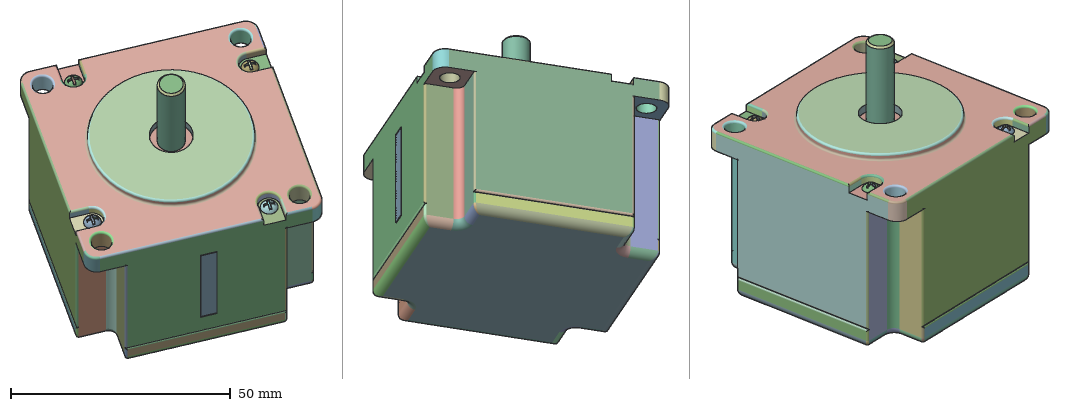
import cadquery as cq

total_height = 61.6
side = 56.4
half_side = side / 2
edge_round = 0.5
arc_offset = edge_round * (1 - 0.5 ** 0.5)

flange_top = 40.95
flange_thickness = 5.0
flange_bottom = flange_top - flange_thickness
flange_corner_radius = 3.0
mount_hole_diameter = 4.7
mount_hole_spacing = 47.05

notch_wall = 19.2
notch_inner_radius = 2.0
case_bottom_radius = 2.0
groove_height = 5.0

boss_radius = 19.1
boss_height = 1.6
boss_top = flange_top + boss_height
recess_radius = 5.0
recess_depth = 2.0
recess_floor = boss_top - recess_depth

screw_offset_along = 16.25
screw_offset_out = mount_hole_spacing / 2
pocket_width = 5.25
pocket_depth = 2.0
pocket_floor = flange_top - pocket_depth
screw_head_radius = 2.05
screw_head_height = 1.4
cross_length = 2.6
cross_width = 0.55
cross_depth = 0.75

label_thickness = 0.2
label_y_min = -1.4
label_y_max = 2.45
label_z_min = 10.55
label_z_max = 33.3

shaft_radius = 3.2
shaft_chamfer = 0.5

quarter_turns = (0, 90, 180, 270)


def turned(shape, angle):
    """Copy of a shape turned about the motor axis."""
    return shape.rotate((0, 0, 0), (0, 0, 1), angle)


def reach(edge):
    """Distance of an edge from the motor axis, measured square to the case sides."""
    return max(abs(edge.Center().x), abs(edge.Center().y))


def make_case():
    """Notched square block with a rounded underside and rounded outer corners."""
    notch_size = side - 2 * notch_wall
    notches = (
        cq.Workplane("XY")
        .rect(side, side, forConstruction=True)
        .vertices()
        .rect(notch_size, notch_size)
        .extrude(flange_bottom)
    )
    case = cq.Workplane("XY").rect(side, side).extrude(flange_bottom).cut(notches)
    outer_limit = half_side - edge_round
    case = case.edges("|Z").filter(lambda edge: reach(edge) < outer_limit).fillet(notch_inner_radius)
    case = case.faces("<Z").edges().fillet(case_bottom_radius)
    return case.edges("|Z").filter(lambda edge: reach(edge) > outer_limit).fillet(edge_round)


def make_flange():
    """Square plate with mounting holes, open-sided screw pockets and rounded top edges."""
    flange = (
        cq.Workplane("XY")
        .workplane(offset=flange_bottom)
        .rect(side, side)
        .extrude(flange_thickness)
        .edges("|Z")
        .fillet(flange_corner_radius)
        .faces(">Z")
        .workplane(origin=(0, 0, flange_top))
        .rect(mount_hole_spacing, mount_hole_spacing, forConstruction=True)
        .vertices()
        .hole(mount_hole_diameter)
    )
    pocket_length = half_side - screw_offset_out
    pocket = (
        cq.Workplane("XY")
        .workplane(offset=pocket_floor)
        .center(screw_offset_along, -screw_offset_out)
        .circle(pocket_width / 2)
        .extrude(pocket_depth)
        .union(
            cq.Workplane("XY")
            .workplane(offset=pocket_floor)
            .center(screw_offset_along, -screw_offset_out - pocket_length / 2)
            .rect(pocket_width, pocket_length)
            .extrude(pocket_depth)
        )
    )
    for angle in quarter_turns:
        flange = flange.cut(turned(pocket, angle))
    return flange.faces(">Z").edges().fillet(edge_round)


def make_boss():
    """Pilot boss: rounded rim above, concave flare where it meets the flange."""
    rim_radius = boss_radius - edge_round
    foot_radius = boss_radius + edge_round
    return (
        cq.Workplane("XZ")
        .moveTo(0, flange_bottom)
        .lineTo(foot_radius, flange_bottom)
        .lineTo(foot_radius, flange_top)
        .threePointArc(
            (boss_radius + arc_offset, flange_top + arc_offset),
            (boss_radius, flange_top + edge_round),
        )
        .lineTo(boss_radius, boss_top - edge_round)
        .threePointArc(
            (boss_radius - arc_offset, boss_top - arc_offset),
            (rim_radius, boss_top),
        )
        .lineTo(0, boss_top)
        .close()
        .revolve(360, (0, 0, 0), (0, 1, 0))
    )


def make_screw_head():
    """Domed screw head with a cross recess, standing on the pocket floor."""
    dome_radius = (screw_head_radius ** 2 + screw_head_height ** 2) / (2 * screw_head_height)
    dome_centre = pocket_floor + screw_head_height - dome_radius
    head = (
        cq.Workplane("XY")
        .workplane(offset=pocket_floor)
        .circle(screw_head_radius)
        .extrude(screw_head_height)
        .intersect(cq.Workplane("XY").sphere(dome_radius).translate((0, 0, dome_centre)))
    )
    cross_floor = pocket_floor + screw_head_height - cross_depth
    bar = (
        cq.Workplane("XY")
        .workplane(offset=cross_floor)
        .rect(cross_length, cross_width)
        .extrude(cross_depth)
    )
    head = head.cut(bar).cut(turned(bar, 90))
    return head.translate((screw_offset_along, -screw_offset_out, 0))


def cut_cover_groove(housing):
    """Groove across each outer case face, its lips rounded down to a sharp cusp."""
    cusp = -half_side + edge_round
    groove = (
        cq.Workplane("YZ")
        .moveTo(-half_side, groove_height - edge_round)
        .threePointArc((-half_side + arc_offset, groove_height - arc_offset), (cusp, groove_height))
        .threePointArc(
            (-half_side + arc_offset, groove_height + arc_offset),
            (-half_side, groove_height + edge_round),
        )
        .close()
        .extrude(notch_wall, both=True)
    )
    for angle in quarter_turns:
        housing = housing.cut(turned(groove, angle))
    return housing


def make_label():
    """Thin raised strip on the +X case face."""
    return cq.Workplane("XY").box(
        label_thickness, label_y_max - label_y_min, label_z_max - label_z_min, centered=False
    ).translate((half_side, label_y_min, label_z_min))


def make_housing():
    """Flange, case, boss, screw heads and label as one solid, with the shaft recess cut last."""
    housing = make_flange().union(make_case()).union(make_boss())
    housing = cut_cover_groove(housing)
    screw_head = make_screw_head()
    for angle in quarter_turns:
        housing = housing.union(turned(screw_head, angle))
    housing = housing.union(make_label())
    recess = cq.Workplane("XY").workplane(offset=recess_floor).circle(recess_radius).extrude(recess_depth)
    return housing.cut(recess)


def make_shaft():
    """Output shaft standing on the recess floor."""
    return (
        cq.Workplane("XY")
        .workplane(offset=recess_floor)
        .circle(shaft_radius)
        .extrude(total_height - recess_floor)
        .faces(">Z")
        .chamfer(shaft_chamfer)
    )


housing = make_housing()
shaft = make_shaft()
result = cq.Compound.makeCompound([housing.val(), shaft.val()])